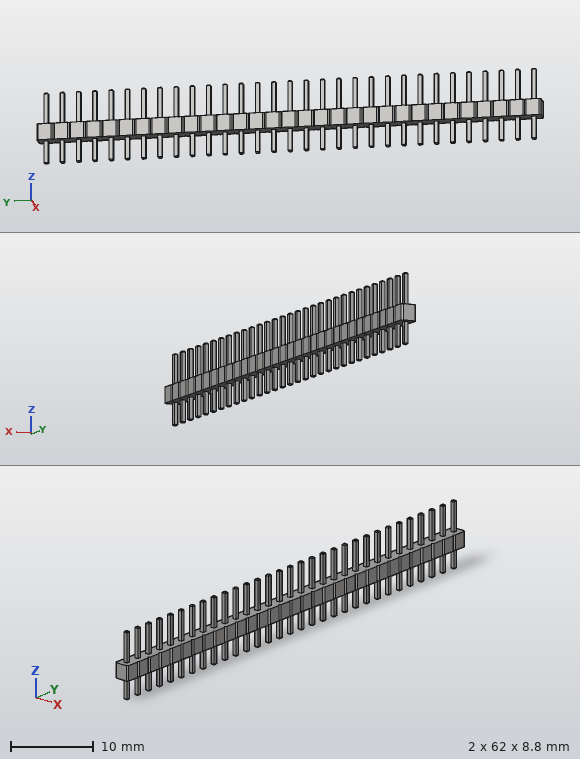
import cadquery as cq

pin_count = 31
pitch = 2.0
body_width = 2.0
body_height = 2.0
body_corner_chamfer = 0.2
pin_side = 0.5
pin_above_body = 4.0
pin_below_body = 2.8
pin_tip_chamfer = 0.125

pin_length = pin_below_body + body_height + pin_above_body
first_position = -pitch * (pin_count - 1) / 2


def make_body_cell():
    """One insulator block, resting on Z = 0, with its four vertical corners chamfered."""
    block = cq.Workplane("XY").box(body_width, pitch, body_height, centered=(True, True, False))
    return block.edges("|Z").chamfer(body_corner_chamfer)


def make_pin():
    """One square pin running through the block, tapered on all sides at both tips."""
    pin = cq.Workplane("XY").workplane(offset=-pin_below_body)
    pin = pin.rect(pin_side, pin_side).extrude(pin_length)
    return pin.faces("<Z or >Z").chamfer(pin_tip_chamfer)


def make_header():
    """A row of identical blocks with pins, joined side by side along Y."""
    contact = make_body_cell().union(make_pin())
    header = contact.translate((0, first_position, 0))
    for index in range(1, pin_count):
        position = first_position + index * pitch
        header = header.union(contact.translate((0, position, 0)))
    return header


result = make_header()